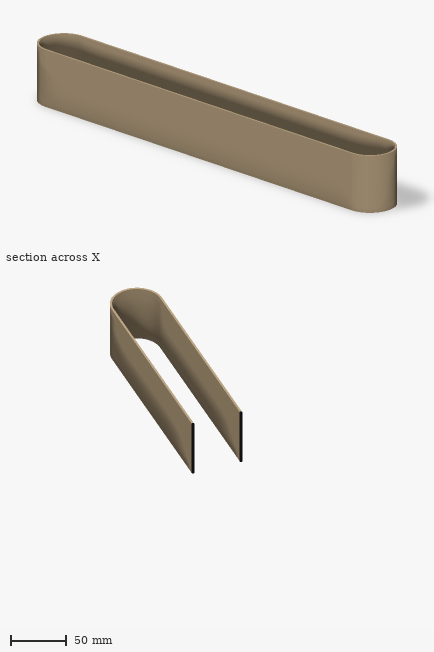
import cadquery as cq

length = 429.0
width = 49.0
height = 55.0
wall = 2.0


def stadium(total_length, total_width):
    """Upright prism with straight sides and full-round ends."""
    return cq.Workplane("XY").slot2D(total_length, total_width).extrude(height)


outer = stadium(length, width)
opening = stadium(length - 2 * wall, width - 2 * wall)
result = outer.cut(opening)